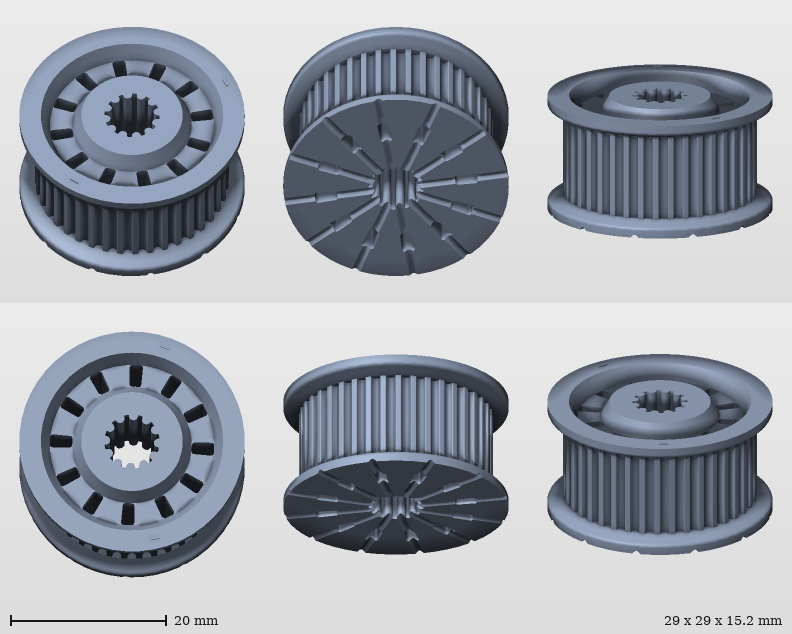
import cadquery as cq
import math

flange_radius = 14.48
body_height = 15.0
flange_height = 2.0
flange_slope = 20.0
flange_edge_fillet = 0.5

groove_width = 1.13
groove_depth = 0.75
groove_mouth_fillet = 0.15
drum_teeth = 40
drum_radius = 12.48
bore_teeth = 12
bore_radius = 3.55

recess_depth = 2.0
recess_outer_radius = 11.7
recess_inner_radius = 6.52
recess_wall_angle = 30.0

spoke_count = 12
slot_outer_width = 1.75
slot_inner_width = 1.48
slot_corner_radius = 0.35
vent_bottom_width = 1.1
vent_top_width = 0.3
vent_height = 0.4

dash_length = 1.2
dash_width = 0.23
dash_height = 0.2
dash_radius = 13.1
dash_angles = (44.3, 256.1)

recess_wall_run = recess_depth * math.tan(math.radians(recess_wall_angle))
floor_outer_radius = recess_outer_radius - recess_wall_run
floor_inner_radius = recess_inner_radius + recess_wall_run


def polar(radius, angle):
    """Point at the given radius and angle in radians."""
    return radius * math.cos(angle), radius * math.sin(angle)


def toothed_profile(teeth, radius):
    """Circle with round-bottomed grooves, one centred on +X, with rounded mouths."""
    half_width = groove_width / 2
    bottom = radius - groove_depth
    bottom_center = bottom + half_width
    fillet_side = half_width + groove_mouth_fillet
    fillet_reach = radius - groove_mouth_fillet
    fillet_center = math.sqrt(fillet_reach**2 - fillet_side**2)
    tip_angle = math.asin(fillet_side / fillet_reach)
    mid_x, mid_y = polar(groove_mouth_fillet, (tip_angle - math.pi / 2) / 2)
    fillet_mid = (fillet_center + mid_x, fillet_side + mid_y)
    mirrored_mid = (fillet_mid[0], -fillet_mid[1])
    pitch = 2 * math.pi / teeth

    def place(point, index):
        """Turn a point of the first groove to the groove with this index."""
        x, y = point
        turn = index * pitch
        return (
            x * math.cos(turn) - y * math.sin(turn),
            x * math.sin(turn) + y * math.cos(turn),
        )

    outline = cq.Workplane("XY").moveTo(*polar(radius, -tip_angle))
    for index in range(teeth):
        outline = (
            outline
            .threePointArc(place(mirrored_mid, index), place((fillet_center, -half_width), index))
            .lineTo(*place((bottom_center, -half_width), index))
            .threePointArc(place((bottom, 0), index), place((bottom_center, half_width), index))
            .lineTo(*place((fillet_center, half_width), index))
            .threePointArc(place(fillet_mid, index), polar(radius, index * pitch + tip_angle))
            .threePointArc(
                polar(radius, (index + 0.5) * pitch),
                polar(radius, (index + 1) * pitch - tip_angle),
            )
        )
    return outline.close()


def flange():
    """Bottom flange with its tapered side facing up."""
    slope_drop = (flange_radius - drum_radius) * math.tan(math.radians(flange_slope))
    corner_height = flange_height - slope_drop
    blank = (
        cq.Workplane("XZ")
        .polyline([
            (0, 0),
            (flange_radius, 0),
            (flange_radius, corner_height),
            (drum_radius, flange_height),
            (0, flange_height),
        ])
        .close()
        .revolve(360, (0, 0), (0, 1))
    )
    rim_corner = cq.selectors.NearestToPointSelector((0, 0, corner_height))
    return blank.edges(rim_corner).fillet(flange_edge_fillet)


def top_recess():
    """Ring cutter with sloping walls, open at the top face."""
    floor = body_height - recess_depth
    return (
        cq.Workplane("XZ")
        .polyline([
            (floor_inner_radius, floor),
            (floor_outer_radius, floor),
            (recess_outer_radius, body_height),
            (recess_inner_radius, body_height),
        ])
        .close()
        .revolve(360, (0, 0), (0, 1))
    )


def spoke_slots():
    """Rounded slots through the recess floor, widening outwards."""
    slot = (
        cq.Workplane("XY")
        .polyline([
            (floor_inner_radius, -slot_inner_width / 2),
            (floor_outer_radius, -slot_outer_width / 2),
            (floor_outer_radius, slot_outer_width / 2),
            (floor_inner_radius, slot_inner_width / 2),
        ])
        .close()
        .extrude(body_height)
        .edges("|Z")
        .fillet(slot_corner_radius)
    )
    slots = cq.Workplane("XY")
    for index in range(spoke_count):
        slots = slots.add(slot.rotate((0, 0, 0), (0, 0, 1), index * 360 / spoke_count))
    return slots.combine()


def vent_grooves():
    """Trapezoidal grooves across the full diameter of the underside."""
    groove = (
        cq.Workplane("XZ")
        .polyline([
            (-vent_bottom_width / 2, 0),
            (vent_bottom_width / 2, 0),
            (vent_top_width / 2, vent_height),
            (-vent_top_width / 2, vent_height),
        ])
        .close()
        .extrude(flange_radius, both=True)
    )
    grooves = groove
    for index in range(1, spoke_count // 2):
        grooves = grooves.union(groove.rotate((0, 0, 0), (0, 0, 1), index * 360 / spoke_count))
    return grooves


def dash_mark(angle):
    """Small raised bar on the top rim, lying along the rim."""
    return (
        cq.Workplane("XY", origin=(0, 0, body_height))
        .center(dash_radius, 0)
        .rect(dash_width, dash_length)
        .extrude(dash_height)
        .rotate((0, 0, 0), (0, 0, 1), angle)
    )


drum = (
    toothed_profile(drum_teeth, drum_radius)
    .extrude(body_height - 2 * flange_height)
    .translate((0, 0, flange_height))
)
bottom_flange = flange()
top_flange = bottom_flange.mirror("XY").translate((0, 0, body_height))
bore = toothed_profile(bore_teeth, bore_radius).extrude(body_height)

result = (
    drum.union(bottom_flange)
    .union(top_flange)
    .cut(top_recess())
    .cut(bore)
    .cut(spoke_slots())
    .cut(vent_grooves())
)
for dash_angle in dash_angles:
    result = result.union(dash_mark(dash_angle))